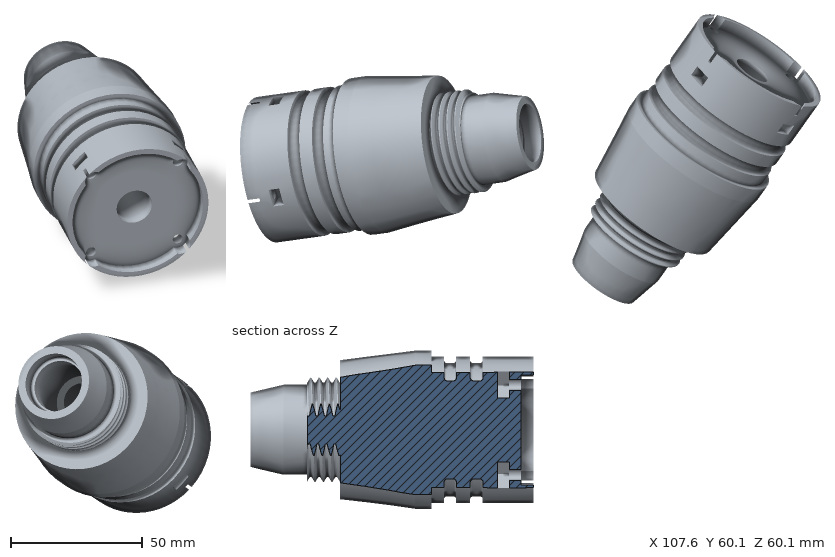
import cadquery as cq
import math

length = 107.6

nose_cone_end = 12.6
thread_start = 21.4
collar_start = 34.1
collar_cone_end = 62.6
collar_end = 68.8

nose_tip_radius = 28.3 / 2
neck_radius = 17.1
thread_root_radius = 18.0
thread_crest_radius = 19.8
collar_tip_radius = 26.5
collar_radius = 60.1 / 2
flange_radius = 55.8 / 2

groove_bottom_radius = 25.4
groove_fillet = 1.0
wide_groove_fillet = 1.3
grooves = [(73.6, 78.1, groove_fillet), (83.4, 88.2, wide_groove_fillet)]

mouth_radius = 22.5 / 2
mouth_depth = 6.8
socket_radius = 19.7 / 2
socket_end = collar_start
through_radius = 7.0

pitch = 3.2
thread_base_width = 2.6
thread_tip_width = 0.3
thread_crest_x = 22.9
lead_turns = 2
thread_overlap = 0.3

recess_radius = 25.8
seat_depth = 4.8
screw_circle_radius = 24.2
screw_radius = 1.9
screw_head_radius = 3.8
window_start = 93.9
window_length = 4.3
window_width = 7.0
window_depth = 7.5
screw_count = 4
first_screw_angle = 45


def x_cylinder(radius, start, end):
    """Cylinder about the X axis."""
    return cq.Workplane("YZ", origin=(start, 0, 0)).circle(radius).extrude(end - start)


def turned_body():
    """Solid of revolution with the nose, neck, collar and grooved flange."""
    arc_share = 1 - math.sqrt(0.5)
    profile = (
        cq.Workplane("XY")
        .moveTo(0, 0)
        .lineTo(0, nose_tip_radius)
        .lineTo(nose_cone_end, neck_radius)
        .lineTo(collar_start, neck_radius)
        .lineTo(collar_start, collar_tip_radius)
        .lineTo(collar_cone_end, collar_radius)
        .lineTo(collar_end, collar_radius)
        .lineTo(collar_end, flange_radius)
    )
    for start, end, start_fillet in grooves:
        bottom = groove_bottom_radius
        profile = (
            profile.lineTo(start, flange_radius)
            .lineTo(start, bottom + start_fillet)
            .threePointArc(
                (start + arc_share * start_fillet, bottom + arc_share * start_fillet),
                (start + start_fillet, bottom),
            )
            .lineTo(end - groove_fillet, bottom)
            .threePointArc(
                (end - arc_share * groove_fillet, bottom + arc_share * groove_fillet),
                (end, bottom + groove_fillet),
            )
            .lineTo(end, flange_radius)
        )
    profile = profile.lineTo(length, flange_radius).lineTo(length, 0).close()
    return profile.revolve(360, (0, 0, 0), (1, 0, 0))


def threaded_core():
    """Core with a right-hand ridge, cut flat at the thread start and reaching into the collar."""
    first_crest = thread_crest_x - lead_turns * pitch
    turns = math.ceil((collar_start - first_crest) / pitch) + 1
    helix = cq.Wire.makeHelix(pitch, turns * pitch, thread_root_radius)
    tip = thread_tip_width / 2
    flank_slope = (thread_base_width / 2 - tip) / (thread_crest_radius - thread_root_radius)
    buried_radius = thread_root_radius - thread_overlap
    buried_base = tip + flank_slope * (thread_crest_radius - buried_radius)
    ridge = (
        cq.Workplane("XZ")
        .moveTo(buried_radius, -buried_base)
        .lineTo(thread_crest_radius, -tip)
        .lineTo(thread_crest_radius, tip)
        .lineTo(buried_radius, buried_base)
        .close()
        .sweep(cq.Workplane(helix), isFrenet=True)
    )
    ridge = ridge.rotate((0, 0, 0), (1, 1, 1), 120).translate((first_crest, 0, 0))
    core = x_cylinder(thread_root_radius, 0, collar_end)
    stretch = x_cylinder(collar_tip_radius, thread_start, collar_start + thread_overlap)
    return core.union(ridge).intersect(stretch)


def stepped_bore():
    """Mouth, socket and through hole on the axis."""
    return (
        x_cylinder(mouth_radius, 0, mouth_depth)
        .union(x_cylinder(socket_radius, 0, socket_end))
        .union(x_cylinder(through_radius, 0, length))
    )


def screw_seat(angle):
    """Head pocket that breaks through the rim, screw hole, and radial window for the nut."""
    seat_floor = length - seat_depth
    window_floor = flange_radius - window_depth
    head = x_cylinder(screw_head_radius, seat_floor, length)
    hole = x_cylinder(screw_radius, window_start + window_length / 2, length)
    window = cq.Workplane("XY").box(
        window_length, 2 * window_depth, window_width, centered=(False, False, True)
    ).translate((window_start, window_floor, 0))
    seat = head.union(hole).translate((0, screw_circle_radius, 0)).union(window)
    return seat.rotate((0, 0, 0), (1, 0, 0), angle)


result = turned_body().union(threaded_core())
result = result.cut(stepped_bore())
result = result.cut(x_cylinder(recess_radius, length - seat_depth, length))
for i in range(screw_count):
    result = result.cut(screw_seat(first_screw_angle + i * 360 / screw_count))